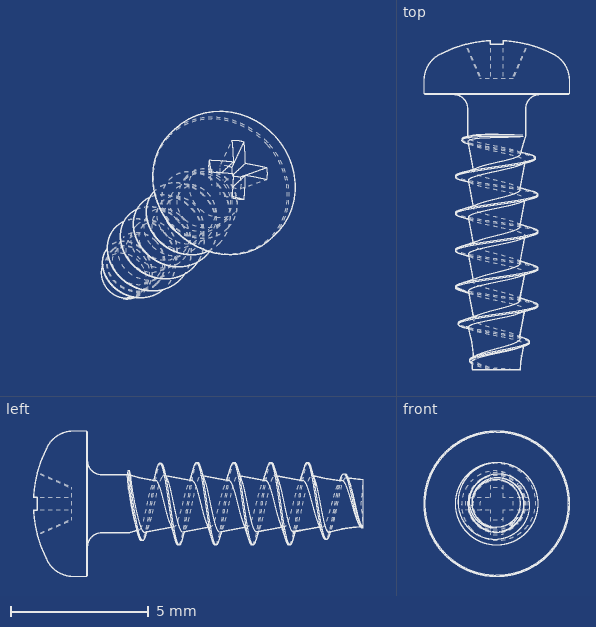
import math

import cadquery as cq


head_radius = 2.65
head_height = 1.98
rim_height = 0.51
shoulder_radius = 2.12
shoulder_height = 1.444
rim_edge_chamfer = 0.05

recess_arm_width = 0.46
recess_radius = 1.2
recess_floor_radius = 0.6
recess_depth = 1.4

screw_length = 10.0
shank_radius = 1.06
shank_end = -1.5
neck_fillet = 0.5
core_radius = 0.853
tip_hollow_radius = 0.8
tip_hollow_depth = 0.07
shank_cone_end = -2.2

full_turn = 2 * math.pi
lead = 1.34
thread_radius = 1.5
tooth_crest_width = 0.05
tooth_depth = 0.7
flank_angle = 15.0
helix_start_y = -1.295
run_in_radius = 1.2
buried_radius = 1.0
faded_radius = 0.88
thread_start = -math.pi / 2
easing_end = math.pi / 2
easing_span = 0.4 * math.pi
run_in_length = 1.1 * full_turn
tail_start = 5.0 * full_turn
thread_end = 6.5 * full_turn

ramp_radius = 1.06
ramp_end_radius = 0.85
ramp_inner_radius = 0.75
ramp_length = 1.115
ramp_undercut = 0.07
ramp_fade_start = 5.5 * full_turn

points_per_turn = 12


def interpolate(value, start, end, start_result, end_result):
    """Linear interpolation, held constant outside the start..end range."""
    share = min(max((value - start) / (end - start), 0.0), 1.0)
    return start_result + share * (end_result - start_result)


def helix_y(angle):
    """Axial position of the regular helix; the angle runs from +Z towards -X."""
    return helix_start_y - lead * angle / full_turn


def tooth_y(angle):
    """Tooth centre line: flat at first, easing into the helix over the easing span."""
    if angle >= easing_end:
        return helix_y(angle)
    back = min(easing_end - angle, easing_span)
    return helix_y(easing_end) + lead / full_turn * (back - back**2 / (2 * easing_span))


def crest_radius(angle):
    """Crest radius: rises out of the shank, stays full, then sinks into the core."""
    if angle < 0:
        return interpolate(angle, thread_start, 0, buried_radius, run_in_radius)
    if angle < tail_start:
        return interpolate(angle, 0, run_in_length, run_in_radius, thread_radius)
    return interpolate(angle, tail_start, thread_end, thread_radius, faded_radius)


def thread_section(angle):
    """Corners (radius, y) of the thread tooth and the tapered root on its tip side."""
    crest = crest_radius(angle)
    middle = tooth_y(angle)
    slope = math.tan(math.radians(flank_angle))
    half_crest = tooth_crest_width / 2
    half_base = half_crest + tooth_depth * slope
    ramp_top = interpolate(angle, ramp_fade_start, thread_end, ramp_radius, core_radius)
    ramp_bottom_y = helix_y(angle) - ramp_length
    ramp_taper = (ramp_top - ramp_end_radius) / ramp_length
    ramp_at_middle = ramp_top - ramp_taper * (helix_y(angle) - middle)
    meet_drop = (half_crest + (crest - ramp_at_middle) * slope) / (1 - ramp_taper * slope)
    return [
        (crest - tooth_depth, middle + half_base),
        (crest, middle + half_crest),
        (crest, middle - half_crest),
        (ramp_at_middle - ramp_taper * meet_drop, middle - meet_drop),
        (ramp_end_radius, ramp_bottom_y),
        (ramp_inner_radius, ramp_bottom_y + ramp_undercut),
    ]


def spiral_solid(section, start, end):
    """Solid swept by a polygon section that may change along the spiral."""
    steps = math.ceil((end - start) / full_turn * points_per_turn)
    angles = [start + (end - start) * step / steps for step in range(steps + 1)]
    paths = []
    for corner in range(len(section(start))):
        points = []
        for angle in angles:
            radius, y = section(angle)[corner]
            points.append(cq.Vector(-radius * math.sin(angle), y, radius * math.cos(angle)))
        paths.append(points)
    edges = [cq.Edge.makeSpline(points) for points in paths]
    faces = []
    for index, edge in enumerate(edges):
        faces.append(cq.Face.makeRuledSurface(edges[index - 1], edge))
    for position in (0, -1):
        cap = cq.Wire.makePolygon([points[position] for points in paths], close=True)
        faces.append(cq.Face.makeFromWires(cap))
    solid = cq.Solid.makeSolid(cq.Shell.makeShell(faces))
    return cq.Workplane(solid.fix())


def make_blank():
    """Turned body: domed head, filleted neck, shank, run-out cone and core."""
    dome_rise = head_height - shoulder_height
    dome_radius = (shoulder_radius**2 + dome_rise**2) / (2 * dome_rise)
    dome_mid_radius = shoulder_radius / 2
    dome_mid_y = head_height - dome_radius + math.sqrt(dome_radius**2 - dome_mid_radius**2)
    fillet_shift = neck_fillet * (1 - math.sqrt(0.5))
    return (
        cq.Workplane("XY")
        .moveTo(0, -screw_length)
        .lineTo(core_radius, -screw_length)
        .lineTo(core_radius, shank_cone_end)
        .lineTo(shank_radius, shank_end)
        .lineTo(shank_radius, -neck_fillet)
        .threePointArc(
            (shank_radius + fillet_shift, -fillet_shift),
            (shank_radius + neck_fillet, 0),
        )
        .lineTo(head_radius - rim_edge_chamfer, 0)
        .lineTo(head_radius, rim_edge_chamfer)
        .lineTo(head_radius, rim_height)
        .tangentArcPoint((shoulder_radius, shoulder_height), relative=False)
        .threePointArc((dome_mid_radius, dome_mid_y), (0, head_height))
        .close()
        .revolve(360, (0, 0), (0, 1))
    )


def make_recess():
    """Cross recess whose arms narrow towards the floor within a cone."""
    floor_y = head_height - recess_depth
    cone = (
        cq.Workplane("XY")
        .moveTo(0, floor_y)
        .lineTo(recess_floor_radius, floor_y)
        .lineTo(recess_radius, head_height)
        .lineTo(0, head_height)
        .close()
        .revolve(360, (0, 0), (0, 1))
    )
    arm_length = 2 * head_radius
    arm_y = floor_y + recess_depth / 2
    arm_x = cq.Workplane("XY").box(arm_length, recess_depth, recess_arm_width)
    arm_z = cq.Workplane("XY").box(recess_arm_width, recess_depth, arm_length)
    return arm_x.union(arm_z).translate((0, arm_y, 0)).intersect(cone)


def make_tip_trim():
    """Block that trims the spirals flat at the tip."""
    size = 4 * thread_radius
    return cq.Workplane("XY").box(size, size, size).translate((0, -screw_length - size / 2, 0))


def make_tip_hollow():
    """Shallow conical hollow in the tip face."""
    return (
        cq.Workplane("XY")
        .moveTo(0, -screw_length)
        .lineTo(tip_hollow_radius, -screw_length)
        .lineTo(0, tip_hollow_depth - screw_length)
        .close()
        .revolve(360, (0, 0), (0, 1))
    )


thread = spiral_solid(thread_section, thread_start, thread_end)
screw = make_blank().union(thread)
result = screw.cut(make_tip_trim()).cut(make_tip_hollow()).cut(make_recess())